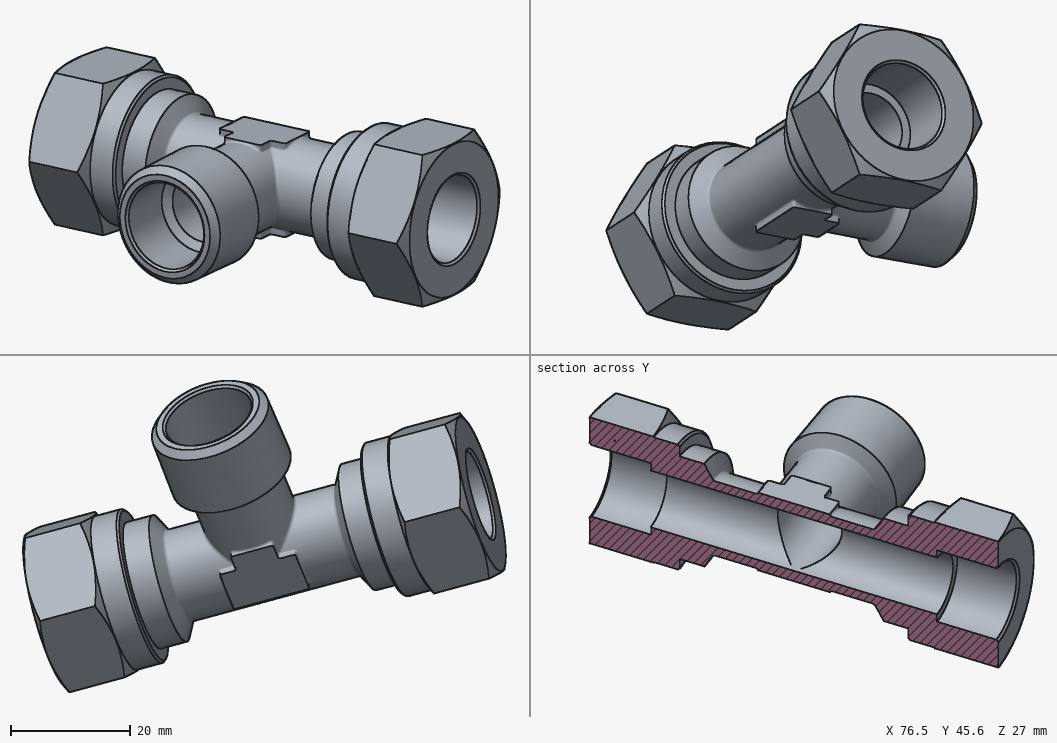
import cadquery as cq
import math

half_length = 38.25
branch_length = 30.0
tube_radius = 16.0 / 2
flow_radius = 12.0 / 2

hex_flats = 27.0
hex_length = 12.0
hex_chamfer = 1.15
hex_face_radius = 26.8 / 2
collar_radius = 26.8 / 2
collar_length = 4.9
collar_bevel = 0.4
neck_radius = 22.0 / 2
neck_length = 4.6

thread_length = 12.55
thread_root_radius = 21.05 / 2
thread_tip_radius = 20.65 / 2
thread_chamfer = 1.2

shoulder_angle = math.radians(60)
shoulder_fillet = 0.5
mouth_radius = 15.15 / 2
mouth_bevel = (16.0 - 15.15) / 2
run_mouth_depth = 11.5
branch_mouth_depth = 10.3
branch_cone_angle = math.radians(60)

pad_top = 8.35
pad_reach = 13.4 / 2
pad_half_width = 3.75
pad_corner = 0.4
root_fillet = 0.5

clearance = 0.1


def shoulder_run(outer_radius):
    """Axial length of the cone from the tube up to outer_radius."""
    return (outer_radius - tube_radius) / math.tan(shoulder_angle)


def revolved(points):
    """Revolve a closed outline of (station, radius) points about X."""
    return cq.Workplane("XY").polyline(points).close().revolve(360, (0, 0, 0), (1, 0, 0))


def box_of_edges(corner_a, corner_b):
    """Selector for edges lying wholly inside the box between two corners."""
    return cq.selectors.BoxSelector(corner_a, corner_b, boundingbox=True)


def turned(points, shoulder_station):
    """Revolve (station, radius) points about X and round the foot of the shoulder."""
    blank = revolved(points)
    reach = tube_radius + clearance
    foot = box_of_edges(
        (shoulder_station - clearance, -reach, -reach), (shoulder_station + clearance, reach, reach)
    )
    return blank.edges(foot).fillet(shoulder_fillet)


def place_on_branch(solid):
    """Turn a solid built along +X so that it points along -Y."""
    return solid.rotate((0, 0, 0), (0, 0, 1), -90)


def run_arm():
    """Half of the run along +X: tube, shoulder, neck and collar, up to the hexagon."""
    collar_end = half_length - hex_length
    collar_start = collar_end - collar_length
    neck_start = collar_start - neck_length
    foot = neck_start - shoulder_run(neck_radius)
    return turned(
        [
            (0, 0),
            (0, tube_radius),
            (foot, tube_radius),
            (neck_start, neck_radius),
            (collar_start, neck_radius),
            (collar_start, collar_radius - collar_bevel),
            (collar_start + collar_bevel, collar_radius),
            (collar_end, collar_radius),
            (collar_end, 0),
        ],
        foot,
    )


def hexagon():
    """Nut hexagon at the +X end, corners toward +Y and -Y, both end faces chamfered."""
    corner_radius = hex_flats / math.sqrt(3)
    start = half_length - hex_length
    prism = cq.Workplane("YZ").workplane(offset=start).polygon(6, 2 * corner_radius).extrude(hex_length)
    envelope = revolved(
        [
            (start, 0),
            (start, hex_face_radius),
            (start + hex_chamfer, corner_radius),
            (half_length - hex_chamfer, corner_radius),
            (half_length, hex_face_radius),
            (half_length, 0),
        ]
    )
    return prism.intersect(envelope)


def branch_arm():
    """Branch along -Y: tube, shoulder and tapered end with a chamfered tip."""
    thread_start = branch_length - thread_length
    foot = thread_start - shoulder_run(thread_root_radius)
    chamfer_start = branch_length - thread_chamfer
    return place_on_branch(
        turned(
            [
                (0, 0),
                (0, tube_radius),
                (foot, tube_radius),
                (thread_start, thread_root_radius),
                (chamfer_start, thread_tip_radius),
                (branch_length, thread_tip_radius - thread_chamfer),
                (branch_length, 0),
            ],
            foot,
        )
    )


def bore(length, mouth_depth, step_length):
    """Cutter along +X: flow bore, step, wider mouth and bevelled rim."""
    step_end = length - mouth_depth
    return revolved(
        [
            (0, 0),
            (0, flow_radius),
            (step_end - step_length, flow_radius),
            (step_end, mouth_radius),
            (length - mouth_bevel, mouth_radius),
            (length, mouth_radius + mouth_bevel),
            (length, 0),
        ]
    )


def pads():
    """T-shaped prism whose two ends stand proud of the tubes as flat pads."""
    outline = [
        (-pad_reach, pad_half_width),
        (-pad_reach, -pad_half_width),
        (-pad_half_width, -pad_half_width),
        (-pad_half_width, -pad_reach),
        (pad_half_width, -pad_reach),
        (pad_half_width, -pad_half_width),
        (pad_reach, -pad_half_width),
        (pad_reach, pad_half_width),
    ]
    prism = cq.Workplane("XY").workplane(offset=-pad_top).polyline(outline).close().extrude(2 * pad_top)
    return prism.edges("|Z").fillet(pad_corner)


arm = run_arm()
body = arm.union(arm.mirror("YZ")).union(branch_arm())
near_tube = tube_radius + clearance
crotches = box_of_edges((-near_tube, -near_tube, -near_tube), (near_tube, clearance, near_tube))
body = body.edges(crotches).fillet(root_fillet)

body = body.union(pads())
near_pad = pad_reach + clearance
for side in (1, -1):
    pad_foot = box_of_edges((-near_pad, -near_pad, 0), (near_pad, near_pad, side * near_tube))
    body = body.edges(pad_foot).fillet(root_fillet)

nut = hexagon()
body = body.union(nut).union(nut.mirror("YZ"))

run_bore = bore(half_length, run_mouth_depth, 0)
cone_length = (mouth_radius - flow_radius) / math.tan(branch_cone_angle)
branch_bore = place_on_branch(bore(branch_length, branch_mouth_depth, cone_length))
result = body.cut(run_bore).cut(run_bore.mirror("YZ")).cut(branch_bore).solids()